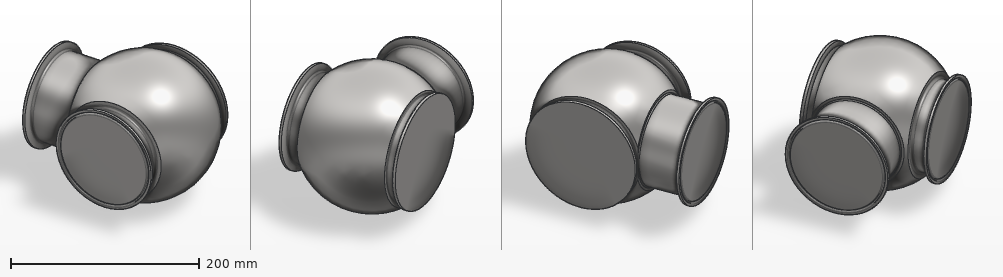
import cadquery as cq
import math

body_radius = 82.58
side_port_face = 114.27
front_port_face = 80.0
back_port_face = 64.8
side_flat = 61.5
front_flat = 58.3
back_flat = 51.4

neck_radius = 101.5 / 2
flange_radius = 118.9 / 2
rim_thickness = 3.0
cone_angle = math.radians(20)
cone_fillet = 2.8
side_root_fillet = 1.4
front_root_fillet = 3.1

groove_radius = 55.1
groove_half_width = 1.0
groove_depth = 1.2
groove_lip = 0.8

back_neck_radius = 120.7 / 2
back_flange_radius = 130.1 / 2
back_rim_thickness = 3.5
back_cone_height = 1.87
back_root_fillet = 0.5

ROUND_45 = 1 - math.sqrt(0.5)


def revolve_profile(profile):
    """Revolve a (radius, height) outline about the local vertical axis."""
    return profile.close().revolve(360, (0, 0, 0), (0, 1, 0))


def start_at_root(radius, flat, fillet):
    """Start an outline at the centre and run it up a root fillet to the neck."""
    return (
        cq.Workplane("XY")
        .lineTo(radius + fillet, 0)
        .lineTo(radius + fillet, flat)
        .threePointArc(
            (radius + fillet * ROUND_45, flat + fillet * ROUND_45),
            (radius, flat + fillet),
        )
    )


def ferrule(face, flat, root_fillet):
    """Neck and clamp flange, pointing along local +Y."""
    rim_height = face - rim_thickness
    arc_sweep = math.pi / 2 - cone_angle
    arc_end_radius = neck_radius + cone_fillet * (1 - math.cos(arc_sweep))
    cone_height = (flange_radius - arc_end_radius) * math.tan(cone_angle)
    arc_end_height = rim_height - cone_height
    arc_start_height = arc_end_height - cone_fillet * math.sin(arc_sweep)
    arc_middle = (
        neck_radius + cone_fillet * (1 - math.cos(arc_sweep / 2)),
        arc_start_height + cone_fillet * math.sin(arc_sweep / 2),
    )
    profile = (
        start_at_root(neck_radius, flat, root_fillet)
        .lineTo(neck_radius, arc_start_height)
        .threePointArc(arc_middle, (arc_end_radius, arc_end_height))
        .lineTo(flange_radius, rim_height)
        .lineTo(flange_radius, face)
        .lineTo(0, face)
    )
    return revolve_profile(profile).cut(gasket_groove(face))


def gasket_groove(face):
    """Ring cutter with a round bottom and rounded lips at the end face."""
    inner = groove_radius - groove_half_width
    outer = groove_radius + groove_half_width
    lip_bottom = face - groove_lip
    lip_middle = groove_lip * ROUND_45
    profile = (
        cq.Workplane("XY")
        .moveTo(inner - groove_lip, face)
        .threePointArc((inner - lip_middle, face - lip_middle), (inner, lip_bottom))
        .threePointArc((groove_radius, lip_bottom - groove_depth), (outer, lip_bottom))
        .threePointArc((outer + lip_middle, face - lip_middle), (outer + groove_lip, face))
    )
    return revolve_profile(profile)


def back_port():
    """Short neck with a thin tapered flange, along +Y."""
    rim_height = back_port_face - back_rim_thickness
    profile = (
        start_at_root(back_neck_radius, back_flat, back_root_fillet)
        .lineTo(back_neck_radius, rim_height - back_cone_height)
        .lineTo(back_flange_radius, rim_height)
        .lineTo(back_flange_radius, back_port_face)
        .lineTo(0, back_port_face)
    )
    return revolve_profile(profile)


def body():
    """Sphere between the front and back flats, trimmed by the side flat."""
    front_flat_radius = math.sqrt(body_radius**2 - front_flat**2)
    back_flat_radius = math.sqrt(body_radius**2 - back_flat**2)
    profile = (
        cq.Workplane("XY")
        .moveTo(0, -front_flat)
        .lineTo(front_flat_radius, -front_flat)
        .threePointArc((body_radius, 0), (back_flat_radius, back_flat))
        .lineTo(0, back_flat)
    )
    size = 2 * body_radius
    beyond_side_flat = cq.Workplane("XY").box(size, size, size).translate(
        (-side_flat - size / 2, 0, 0)
    )
    return revolve_profile(profile).cut(beyond_side_flat)


def back_trim():
    """Block behind the back flat, starting where the side root fillet meets the neck."""
    size = 4 * body_radius
    corner = (-side_flat - side_root_fillet, back_flat, -size / 2)
    return cq.Workplane("XY").box(size, size, size, centered=False).translate(corner)


def turn(shape, angle):
    """Turn a port about the Z axis."""
    return shape.rotate((0, 0, 0), (0, 0, 1), angle)


side_neck = turn(ferrule(side_port_face, side_flat, side_root_fillet), 90)
front_neck = turn(ferrule(front_port_face, front_flat, front_root_fillet), 180)

trimmed_body = body().union(side_neck).cut(back_trim())
result = trimmed_body.union(front_neck).union(back_port())